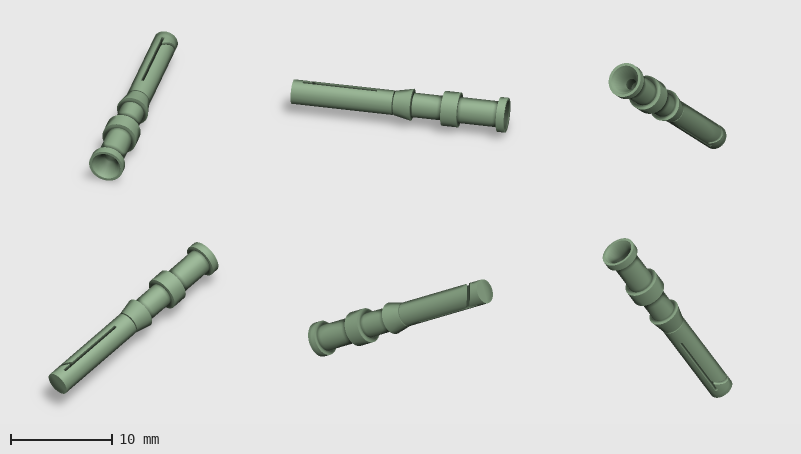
import cadquery as cq
import math

LENGTH = 21.6
FLANGE_DIAMETER = 3.48
BARREL_DIAMETER = 2.6
PIN_DIAMETER = 2.45
NECK_DIAMETER = 1.8
BARB_DIAMETER = 3.2

FLANGE_END = 0.8
COLLAR_START = 4.77
COLLAR_END = 6.4
GROOVE_WIDTH = 0.13
BARB_START = 9.53
BARB_END = 11.3

FUNNEL_DIAMETER = 2.94
BORE_DIAMETER = 1.1
FUNNEL_ANGLE = 60.0
BORE_LENGTH = 1.3
DRILL_POINT_ANGLE = 118.0

SLOT_WIDTH = 0.3
BRANCH_WIDTH = 0.28
SLOT_START = 13.11
SLOT_END = 20.6
BRANCH_START = 19.3
BRANCH_ANGLE = 45.0


def cone_height(large_diameter, small_diameter, included_angle):
    half_angle = math.radians(included_angle / 2)
    return (large_diameter - small_diameter) / 2 / math.tan(half_angle)


def revolve_about_y(outline):
    return cq.Workplane("XY").polyline(outline).close().revolve(360, (0, 0, 0), (0, 1, 0))


def turned_body():
    sections = [
        (FLANGE_DIAMETER, FLANGE_DIAMETER, FLANGE_END),
        (BARREL_DIAMETER, BARREL_DIAMETER, COLLAR_START),
        (FLANGE_DIAMETER, FLANGE_DIAMETER, COLLAR_END),
        (PIN_DIAMETER, PIN_DIAMETER, BARB_START - GROOVE_WIDTH),
        (NECK_DIAMETER, NECK_DIAMETER, BARB_START),
        (BARB_DIAMETER, PIN_DIAMETER, BARB_END),
        (NECK_DIAMETER, NECK_DIAMETER, BARB_END + GROOVE_WIDTH),
        (PIN_DIAMETER, PIN_DIAMETER, LENGTH),
    ]
    outline = [(0, 0)]
    start = 0
    for start_diameter, end_diameter, end in sections:
        outline.append((start_diameter / 2, start))
        outline.append((end_diameter / 2, end))
        start = end
    outline.append((0, LENGTH))
    return revolve_about_y(outline)


def wire_entry():
    funnel_end = cone_height(FUNNEL_DIAMETER, BORE_DIAMETER, FUNNEL_ANGLE)
    bore_end = funnel_end + BORE_LENGTH
    tip = bore_end + cone_height(BORE_DIAMETER, 0, DRILL_POINT_ANGLE)
    return revolve_about_y([
        (0, 0),
        (FUNNEL_DIAMETER / 2, 0),
        (BORE_DIAMETER / 2, funnel_end),
        (BORE_DIAMETER / 2, bore_end),
        (0, tip),
    ])


def sleeve_slots():
    slot_length = SLOT_END - SLOT_START
    slot = (
        cq.Workplane("XY")
        .center(0, (SLOT_START + SLOT_END) / 2)
        .rect(SLOT_WIDTH, slot_length)
        .extrude(PIN_DIAMETER / 2, both=True)
    )
    branch_length = PIN_DIAMETER
    branch = (
        cq.Workplane("XY")
        .center(0, BRANCH_START)
        .transformed(rotate=(0, 0, BRANCH_ANGLE))
        .center(branch_length / 2, 0)
        .rect(branch_length, BRANCH_WIDTH)
        .extrude(PIN_DIAMETER / 2, both=True)
    )
    return slot.union(branch)


result = turned_body().cut(wire_entry()).cut(sleeve_slots())